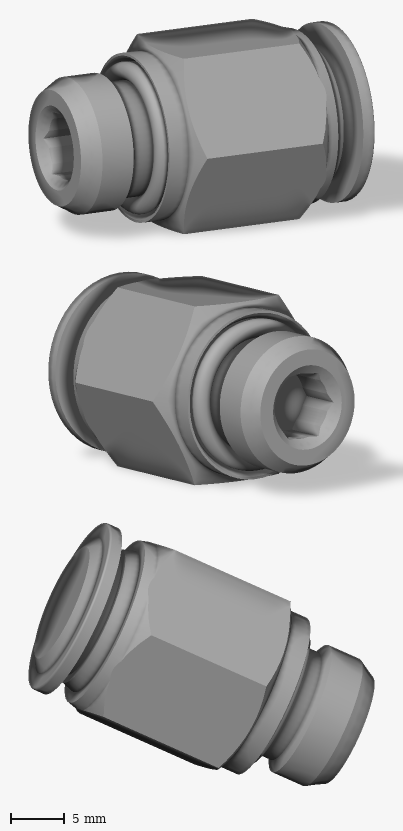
import cadquery as cq
import math


LENGTH = 30.0
TIP_CHAMFER_END = 1.75
THREAD_END = 5.0
FACE = 8.0
HEX_START = 10.0
SHOULDER_START = 24.35
SHOULDER_END = 25.5
RING_END = 26.8
FLANGE_START = 28.0
FLANGE_END = 29.25

THREAD_R = 6.5
NECK_R = 5.5
STEP_ANGLE = math.radians(30)
NECK_START = THREAD_END + (THREAD_R - NECK_R) * math.tan(STEP_ANGLE)

FACE_R = 8.0
GROOVE_R = 7.76
GROOVE_FLOOR_R = 7.15
GROOVE_FLOOR = 8.95
SEAL_SECTION_R = 0.87
SEAL_CENTER_R = 6.33
SEAL_PROTRUSION = 0.73

HEX_SIDES = 6
ACROSS_FLATS = 17.0
HEX_CORNER_R = ACROSS_FLATS / math.sqrt(3)
FRONT_CHAMFER_END = HEX_START + (HEX_CORNER_R - FACE_R) * math.tan(STEP_ANGLE)
SHOULDER_BASE_R = 8.58
SHOULDER_TOP_R = 8.27
BACK_CHAMFER_START = SHOULDER_START - (HEX_CORNER_R - SHOULDER_BASE_R)

RING_BASE_R = 7.2
RING_TOP_R = 6.8
COLLAR_NECK_R = 6.0
FLANGE_R = 8.5
FLANGE_RIM_FILLET = 0.2
FLANGE_ROOT_FILLET = 0.5
COLLAR_CONE_R = 6.95
COLLAR_TIP_R = 5.7

KEY_FLATS = 6.0
KEY_BORE_R = 3.1
KEY_DEPTH = 4.75
KEY_MOUTH_R = 4.0
KEY_CORNER_R = KEY_FLATS / math.sqrt(3)
KEY_MOUTH_DEPTH = KEY_MOUTH_R


def revolve_about_axis(sketch):
    """Turn a profile drawn as (radius, station) about the Y axis."""
    return sketch.revolve(360, (0, 0, 0), (0, 1, 0))


def hex_prism(corner_radius, start, end):
    """Hexagonal prism along Y with two corners on the X axis."""
    plane = cq.Plane(origin=(0, start, 0), xDir=(1, 0, 0), normal=(0, 1, 0))
    return cq.Workplane(plane).polygon(HEX_SIDES, 2 * corner_radius).extrude(end - start)


def threaded_stub():
    profile = (
        cq.Workplane("XY")
        .lineTo(NECK_R, 0)
        .lineTo(THREAD_R, TIP_CHAMFER_END)
        .lineTo(THREAD_R, THREAD_END)
        .lineTo(NECK_R, NECK_START)
        .lineTo(NECK_R, HEX_START)
        .lineTo(0, HEX_START)
        .close()
    )
    return revolve_about_axis(profile)


def sealing_face():
    """Round shoulder in front of the hexagon, with a tapered groove in its face."""
    profile = (
        cq.Workplane("XY")
        .moveTo(0, GROOVE_FLOOR)
        .lineTo(GROOVE_FLOOR_R, GROOVE_FLOOR)
        .lineTo(GROOVE_R, FACE)
        .lineTo(FACE_R, FACE)
        .lineTo(FACE_R, HEX_START)
        .lineTo(0, HEX_START)
        .close()
    )
    return revolve_about_axis(profile)


def seal_ring():
    center = FACE - SEAL_PROTRUSION + SEAL_SECTION_R
    return revolve_about_axis(cq.Workplane("XY").moveTo(SEAL_CENTER_R, center).circle(SEAL_SECTION_R))


def hex_body():
    """Hexagon trimmed by a turned envelope that chamfers both of its ends."""
    envelope = (
        cq.Workplane("XY")
        .moveTo(0, HEX_START)
        .lineTo(FACE_R, HEX_START)
        .lineTo(HEX_CORNER_R, FRONT_CHAMFER_END)
        .lineTo(HEX_CORNER_R, BACK_CHAMFER_START)
        .lineTo(SHOULDER_BASE_R, SHOULDER_START)
        .lineTo(SHOULDER_TOP_R, SHOULDER_END)
        .lineTo(0, SHOULDER_END)
        .close()
    )
    return hex_prism(HEX_CORNER_R, HEX_START, SHOULDER_END).intersect(revolve_about_axis(envelope))


def release_collar():
    """Tapered ring, neck and flanged push collar behind the hexagon."""
    root_r = COLLAR_NECK_R + FLANGE_ROOT_FILLET
    profile = (
        cq.Workplane("XY")
        .moveTo(0, SHOULDER_END)
        .lineTo(RING_BASE_R, SHOULDER_END)
        .lineTo(RING_TOP_R, RING_END)
        .lineTo(COLLAR_NECK_R, RING_END)
        .lineTo(COLLAR_NECK_R, FLANGE_START - FLANGE_ROOT_FILLET)
        .radiusArc((root_r, FLANGE_START), FLANGE_ROOT_FILLET)
        .lineTo(FLANGE_R, FLANGE_START)
        .lineTo(FLANGE_R, FLANGE_END - FLANGE_RIM_FILLET)
        .radiusArc((FLANGE_R - FLANGE_RIM_FILLET, FLANGE_END), -FLANGE_RIM_FILLET)
        .lineTo(COLLAR_CONE_R, FLANGE_END)
        .lineTo(COLLAR_TIP_R, LENGTH)
        .lineTo(0, LENGTH)
        .close()
    )
    return revolve_about_axis(profile)


def key_socket():
    """Cutter for the blind key socket and its conical mouth."""
    bore_profile = (
        cq.Workplane("XY")
        .lineTo(KEY_BORE_R, 0)
        .lineTo(KEY_BORE_R, KEY_DEPTH)
        .lineTo(0, KEY_DEPTH)
        .close()
    )
    bore = revolve_about_axis(bore_profile)
    mouth_profile = cq.Workplane("XY").lineTo(KEY_MOUTH_R, 0).lineTo(0, KEY_MOUTH_DEPTH).close()
    mouth = revolve_about_axis(mouth_profile)
    return hex_prism(KEY_CORNER_R, 0, KEY_DEPTH).union(bore).union(mouth)


result = (
    threaded_stub()
    .union(sealing_face())
    .union(seal_ring())
    .union(hex_body())
    .union(release_collar())
    .cut(key_socket())
)